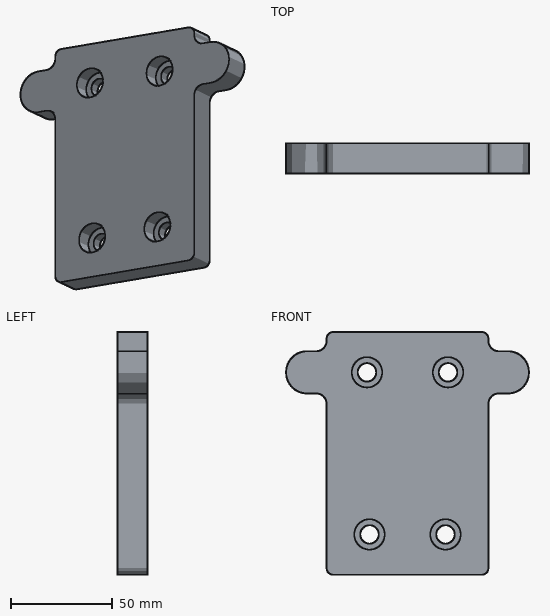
import cadquery as cq

body_width = 80.0
height = 120.0
thickness = 15.0
corner_radius = 3.5

overall_width = 120.0
ear_height = 21.0
ear_drop = 20.0
ear_root_radius = 5.0

hole_diameter = 9.0
counterbore_diameter = 15.0
counterbore_depth = 9.0
upper_hole_spacing = 40.0
lower_hole_spacing = 37.5
lower_hole_rise = 20.0

ear_z = height / 2 - ear_drop
lower_hole_z = lower_hole_rise - height / 2
front_y = -thickness / 2
pick_margin = 0.1


def edges_at(half_width, center_z, half_height):
    """Selector for the thickness edges at +/-half_width, center_z +/- half_height."""
    selectors = []
    for x in (-half_width, half_width):
        for z in (center_z - half_height, center_z + half_height):
            lower = (x - pick_margin, -thickness, z - pick_margin)
            upper = (x + pick_margin, thickness, z + pick_margin)
            selectors.append(cq.selectors.BoxSelector(lower, upper))
    combined = selectors[0]
    for selector in selectors[1:]:
        combined = combined + selector
    return combined


def make_ears():
    """One bar across the plate whose semicircular ends form both ears."""
    return (
        cq.Workplane("XZ", origin=(0, -front_y, ear_z))
        .slot2D(overall_width, ear_height)
        .extrude(thickness)
    )


def make_plate():
    """Plate and ears with rounded corners and filleted ear roots."""
    plate = cq.Workplane("XY").box(body_width, thickness, height).union(make_ears())
    plate = plate.edges(edges_at(body_width / 2, 0, height / 2)).fillet(corner_radius)
    return plate.edges(edges_at(body_width / 2, ear_z, ear_height / 2)).fillet(ear_root_radius)


def cut_hole_row(plate, spacing, z):
    """Cut a pair of counterbored through holes, symmetric about X = 0."""
    return (
        plate.copyWorkplane(cq.Workplane("XZ", origin=(0, front_y, z)))
        .pushPoints([(-spacing / 2, 0), (spacing / 2, 0)])
        .cboreHole(hole_diameter, counterbore_diameter, counterbore_depth)
    )


result = make_plate()
result = cut_hole_row(result, upper_hole_spacing, ear_z)
result = cut_hole_row(result, lower_hole_spacing, lower_hole_z)